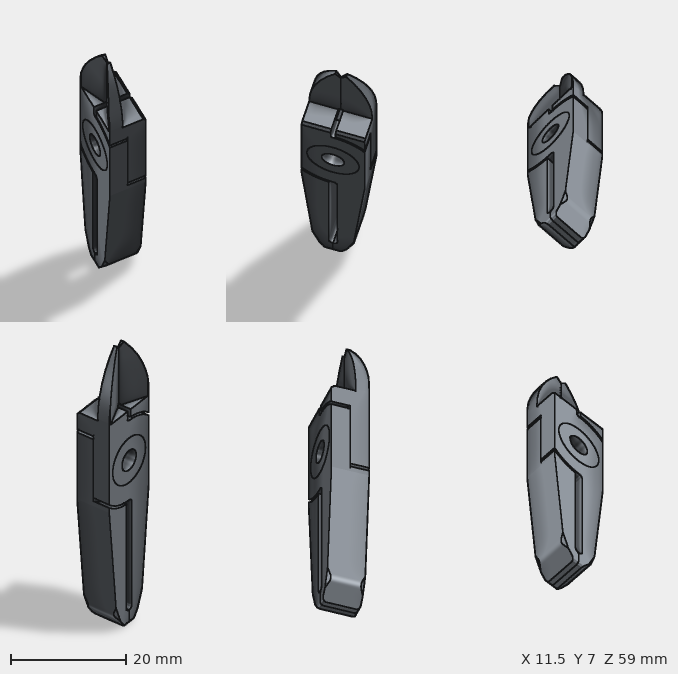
import cadquery as cq
import math


width = 11.5
thickness = 7.0
tip_z = 24.0
end_z = -35.0
half_width = width / 2
front_y = -thickness / 2
back_y = thickness / 2
slab_size = 4 * (tip_z - end_z)

tip_half_gap = 1.0
tip_notch_depth = 1.0
jaw_radius = 20.0
shoulder_z = 10.65
jaw_back_y = -1.0
bevel_edge_y = -1.2
bevel_half_width = 5.4
shoulder_chamfer = 0.5

joint_radius = 8.5
joint_gap = 0.5
rivet_radius = 4.75
rivet_bore_radius = 2.05

jaw_slot_width = 0.9
jaw_slot_top_z = 11.05
handle_slot_width = 1.6
handle_slot_end_z = -32.0

taper_start_z = -8.0
heel_half_width = 3.6
heel_z = -31.45
heel_fillet = 3.0
end_half_width = 1.05
end_fillet = 0.75
facet_setback = 1.95
facet_angle = 60.0


def extrude_y(sketch, y_from, y_to):
    """Extrude an XZ sketch between two Y positions."""
    return sketch.extrude(y_from - y_to).translate((0, y_from, 0))


def cylinder(radius):
    """Full-thickness cylinder on the pivot axis."""
    return extrude_y(cq.Workplane("XZ").circle(radius), front_y, back_y)


def block(x_from, x_to, y_from, y_to, z_from, z_to):
    """Box between the given limits."""
    size = (x_to - x_from, y_to - y_from, z_to - z_from)
    return cq.Workplane("XY").box(*size, centered=False).translate((x_from, y_from, z_from))


def centre_slot(slot_width, z_from, z_to):
    """Full-depth slot with round ends, on the centre plane."""
    slot = cq.Workplane("XZ").center(0, (z_from + z_to) / 2).slot2D(z_to - z_from, slot_width, 90)
    return extrude_y(slot, front_y, back_y)


def half_outline():
    """The +X half of the silhouette through the full thickness."""
    arc_centre_x = half_width - jaw_radius
    tip_angle = math.acos((tip_half_gap - arc_centre_x) / jaw_radius)
    arc_start_z = tip_z - jaw_radius * math.sin(tip_angle)
    arc_middle = (
        arc_centre_x + jaw_radius * math.cos(tip_angle / 2),
        arc_start_z + jaw_radius * math.sin(tip_angle / 2),
    )
    outline = (
        cq.Workplane("XZ")
        .moveTo(0, end_z)
        .lineTo(end_half_width, end_z)
        .lineTo(heel_half_width, heel_z)
        .lineTo(half_width, taper_start_z)
        .lineTo(half_width, arc_start_z)
        .threePointArc(arc_middle, (tip_half_gap, tip_z))
        .lineTo(0, tip_z - tip_notch_depth)
        .close()
    )
    solid = extrude_y(outline, front_y, back_y)
    heel_edge = cq.selectors.NearestToPointSelector((heel_half_width, 0, heel_z))
    return solid.edges("|Y").edges(heel_edge).fillet(heel_fillet)


def point_towards(start, target, distance):
    """Point at a distance from start along the line to target."""
    fraction = distance / math.dist(start, target)
    return (
        start[0] + fraction * (target[0] - start[0]),
        start[1] + fraction * (target[1] - start[1]),
    )


def heel_facet_cutter():
    """Wedge that cuts the flat facet off the front edge of the +X heel."""
    heel = (heel_half_width, heel_z)
    facet_top = point_towards(heel, (half_width, taper_start_z), facet_setback)
    facet_bottom = point_towards(heel, (end_half_width, end_z), facet_setback)
    facet_length = math.dist(facet_top, facet_bottom)
    outward_x = (facet_top[1] - facet_bottom[1]) / facet_length
    outward_z = (facet_bottom[0] - facet_top[0]) / facet_length
    reach = facet_setback
    depth = reach * math.tan(math.radians(facet_angle))
    plane = cq.Plane(
        origin=(facet_top[0], front_y, facet_top[1]),
        xDir=(outward_x, 0, outward_z),
        normal=(-outward_z, 0, outward_x),
    )
    return (
        cq.Workplane(plane)
        .polyline([(0, 0), (reach, 0), (reach, depth)])
        .close()
        .extrude(2 * facet_length, both=True)
    )


def bevel_cutter():
    """Wedge in front of the +X jaw, leaving a slope down to the cutting edge."""
    slope = (front_y - bevel_edge_y) / bevel_half_width
    run_out_x = 2 * bevel_half_width
    return (
        cq.Workplane("XY")
        .workplane(offset=shoulder_z)
        .polyline([
            (0, bevel_edge_y),
            (run_out_x, bevel_edge_y + slope * run_out_x),
            (0, bevel_edge_y + slope * run_out_x),
        ])
        .close()
        .extrude(tip_z - shoulder_z)
    )


def half_blank():
    """The +X half of the tool, before the lap joint is cut."""
    blank = half_outline().cut(block(0, width, jaw_back_y, thickness, shoulder_z, slab_size))
    blank = blank.cut(bevel_cutter())
    facet = heel_facet_cutter()
    blank = blank.cut(facet).cut(facet.mirror("XZ"))
    shoulder_edge = cq.selectors.NearestToPointSelector((half_width / 2, back_y, shoulder_z))
    blank = blank.edges(shoulder_edge).chamfer(shoulder_chamfer)
    for y in (front_y, back_y):
        end_edge = cq.selectors.NearestToPointSelector((end_half_width / 2, y, end_z))
        blank = blank.edges(end_edge).fillet(end_fillet)
    return blank


def lever_body(blank, jaw_side, lap_side):
    """One lever: jaw on jaw_side (X sign), joint disc on lap_side (Y sign), handle opposite the jaw."""
    right, left = blank, blank.mirror("YZ")
    jaw_blank, handle_blank = (right, left) if jaw_side > 0 else (left, right)
    upper = block(-width, width, -thickness, thickness, 0, slab_size)
    lower = block(-width, width, -thickness, thickness, -slab_size, 0)
    lap_layer = block(-width, width, 0, thickness, -slab_size, slab_size)
    other_layer = block(-width, width, -thickness, 0, -slab_size, slab_size)
    if lap_side < 0:
        lap_layer, other_layer = other_layer, lap_layer

    lever = jaw_blank.intersect(upper).union(handle_blank.intersect(lower))

    lever = lever.cut(other_layer.intersect(cylinder(joint_radius + joint_gap)))
    strap = block(-half_width, half_width, front_y, back_y, -joint_radius, joint_radius)
    disc = cylinder(joint_radius).intersect(strap).intersect(lap_layer)
    lever = lever.union(disc)

    lever = lever.cut(centre_slot(jaw_slot_width, joint_radius, jaw_slot_top_z))
    lever = lever.cut(centre_slot(handle_slot_width, handle_slot_end_z, -joint_radius))
    return lever.cut(cylinder(rivet_radius)).solids()


def hollow_rivet():
    """Rivet bored through, flush with both faces."""
    return cylinder(rivet_radius).cut(cylinder(rivet_bore_radius)).solids()


blank = half_blank()
front_lever = lever_body(blank, jaw_side=-1, lap_side=-1)
back_lever = lever_body(blank, jaw_side=1, lap_side=1)
rivet = hollow_rivet()

result = cq.Compound.makeCompound([front_lever.val(), back_lever.val(), rivet.val()])